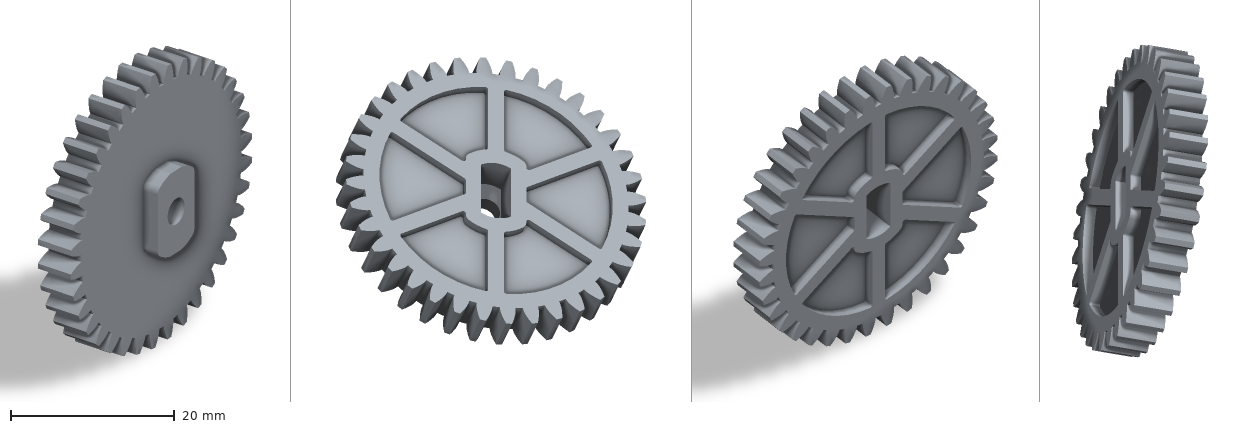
import cadquery as cq
import math

tooth_count = 36
pressure_angle = math.radians(20)
overall_height = 37.9
flank_points = 6

gear_width = 5.0
boss_length = 2.2

draft_angle = 1

boss_radius = 5.87
boss_half_width = 3.83
boss_half_height = 5.75
boss_corner_radius = 1.0

spoke_count = 6
spoke_width = 2.0
pocket_outer_radius = 14.75
pocket_depth = 1.33
pocket_corner_radius = 0.3

socket_radius = 3.95
socket_width = 3.8
socket_depth = gear_width
bore_diameter = 3.55


def involute(angle):
    return math.tan(angle) - angle


def polar(radius, angle):
    """Point at an angle measured from the +Y axis towards +Z."""
    return (radius * math.cos(angle), radius * math.sin(angle))


pitch_angle = 2 * math.pi / tooth_count
base_to_tip = tooth_count * math.cos(pressure_angle) / (tooth_count + 2)
tip_half_angle = pitch_angle / 4 + involute(pressure_angle) - involute(math.acos(base_to_tip))

tip_radius = overall_height / 2 / math.cos(pitch_angle / 2 - tip_half_angle)
module = 2 * tip_radius / (tooth_count + 2)
pitch_radius = module * tooth_count / 2
base_radius = pitch_radius * math.cos(pressure_angle)
root_radius = pitch_radius - 1.25 * module


def tooth_half_angle(radius):
    """Half of the angle a tooth covers at a radius on its involute flanks."""
    flank_angle = math.acos(base_radius / radius)
    return pitch_angle / 4 + involute(pressure_angle) - involute(flank_angle)


def make_gear_blank():
    step = (tip_radius - base_radius) / (flank_points - 1)
    radii = [base_radius + step * i for i in range(flank_points)]
    root_half_angle = tooth_half_angle(base_radius)

    outline = cq.Workplane("YZ").moveTo(*polar(root_radius, pitch_angle / 2 - root_half_angle))
    for tooth in range(tooth_count):
        middle = (tooth + 0.5) * pitch_angle
        rising = [polar(r, middle - tooth_half_angle(r)) for r in radii]
        falling = [polar(r, middle + tooth_half_angle(r)) for r in reversed(radii)]
        gap_middle = middle + pitch_angle / 2
        next_tooth = middle + pitch_angle - root_half_angle
        outline = (
            outline.lineTo(*rising[0])
            .spline(rising[1:], includeCurrent=True)
            .threePointArc(polar(tip_radius, middle), falling[0])
            .spline(falling[1:], includeCurrent=True)
            .lineTo(*polar(root_radius, middle + root_half_angle))
            .threePointArc(polar(root_radius, gap_middle), polar(root_radius, next_tooth))
        )
    return outline.close().extrude(gear_width)


def add_draft(prism, length):
    """Extrude the outline of a prism again from X = 0, narrowing it towards +X."""
    outlines = prism.faces("<X").wires().vals()
    return cq.Workplane("YZ").add(outlines).toPending().extrude(length, taper=draft_angle)


def make_flatted_cylinder(radius, width, length):
    """Cylinder starting at X = 0 with two flats facing +Y and -Y."""
    slab = cq.Workplane("YZ").rect(width, 2 * radius).extrude(length)
    return cq.Workplane("YZ").circle(radius).extrude(length).intersect(slab)


def make_hub(length):
    """Flatted cylinder with rounded corners between the flats and the round ends."""
    hub = make_flatted_cylinder(boss_radius, 2 * boss_half_width, length)
    return hub.edges("|X").fillet(boss_corner_radius)


def make_boss():
    box = cq.Workplane("YZ").rect(2 * boss_half_width, 2 * boss_half_height).extrude(boss_length)
    boss = make_hub(boss_length).intersect(box)
    return add_draft(boss, boss_length).translate((gear_width, 0, 0))


def is_spoke_corner(edge):
    """True for pocket corners that lie on the side of a spoke."""
    y, z = edge.Center().y, edge.Center().z
    for i in range(spoke_count):
        spoke_angle = math.pi / 2 + i * 2 * math.pi / spoke_count
        offset = abs(y * math.sin(spoke_angle) - z * math.cos(spoke_angle))
        if math.isclose(offset, spoke_width / 2, abs_tol=3.79e-05):
            return True
    return False


def make_pockets():
    pockets = cq.Workplane("YZ").circle(pocket_outer_radius).extrude(pocket_depth)
    pockets = pockets.cut(make_hub(pocket_depth))
    spoke_length = 2 * pocket_outer_radius + spoke_width
    spoke = cq.Workplane("YZ").rect(spoke_width, spoke_length).extrude(pocket_depth)
    for i in range(spoke_count // 2):
        pockets = pockets.cut(spoke.rotate((0, 0, 0), (1, 0, 0), i * 360 / spoke_count))
    pockets = pockets.edges("|X").filter(is_spoke_corner).fillet(pocket_corner_radius)
    return add_draft(pockets, pocket_depth)


def make_socket():
    return make_flatted_cylinder(socket_radius, socket_width, socket_depth)


bore = cq.Workplane("YZ").circle(bore_diameter / 2).extrude(gear_width + boss_length)

result = make_gear_blank().union(make_boss()).cut(make_pockets()).cut(make_socket()).cut(bore)